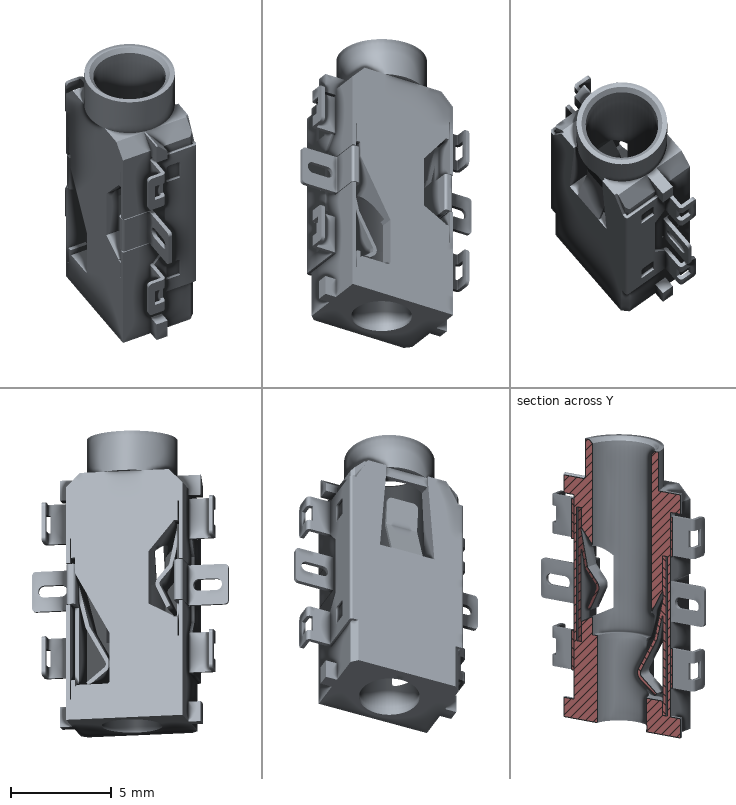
import cadquery as cq
import math

HALF_WIDTH = 2.95
FRONT_Y = -1.99
BACK_Y = 2.13
BODY_TOP = 12.51
TOTAL_HEIGHT = 14.5
BARREL_RADIUS = 2.25
TOP_CHAMFER = HALF_WIDTH - BARREL_RADIUS
BACK_CHAMFER = 0.3
BORE_RADIUS = 1.8
EXIT_RADIUS = 1.51
EXIT_TOP = 4.5
MOUTH_CHAMFER = 0.2

LUG_HALF_SPAN = 3.55
LUG_HEIGHT = 1.02
LUG_FRONT_Y = -0.42
LUG_BACK_Y = 0.2
LUG_FLAT = 0.09

SHELL_SHEET = 0.15
SHELL_BEND = 0.138
SHELL_INNER_Y = BACK_Y - SHELL_SHEET
SHELL_HALF_WIDTH = HALF_WIDTH + SHELL_SHEET
SHELL_BOTTOM = 2.48
SHELL_TOP = 11.3
FOOT_WIDTH = 2.02
SHELL_FRONT_Y = -0.5
WAIST_Y = 0.35
WAIST_SLOPE = 0.75
BACK_TOP_HALF = 2.13
BACK_FOOT_HALF = 2.78
FOOT_HALF_SPAN = 4.32
FOOT_END_Y = -1.29
FOOT_SHEET = 0.19
FOOT_BACK_Y = SHELL_FRONT_Y + FOOT_SHEET
FOOT_BEND = 0.06
FOOT_CORNER = 0.2
FOOT_SLOT_WIDTH = 0.87
FOOT_SLOT_END_Y = -0.94
FOOT_SLOT_INNER_X = 4.02
WINDOW_FRONT_Y = 0.39
WINDOW_BACK_Y = 1.17
WINDOW_HEIGHT = 1.02
WINDOW_CORNER = 0.15
WINDOW_BOTTOMS = (3.25, 9.55)

OPENING_BOTTOM = 7.5
OPENING_TOP = 11.96
OPENING_BOTTOM_HALF = 1.48
OPENING_TOP_HALF = 1.15
TONGUE_HALF_WIDTH = 0.84
TONGUE_CORNER = 0.28
TONGUE_BEND = (1.32, 9.42)
TONGUE_TIP = (1.48, 11.02)
TONGUE_BEND_RADIUS = 0.29

CONTACT_SHEET = 0.2
OVERALL_WIDTH = 9.9
PLATE_X = 2.48
SLOT_OUTER_X = 2.75
SPRING_HALF_WIDTH = 1.02
EAR_HEIGHT = 0.97
BRACKET_MID_Z = 6.9
BRACKET_WIDTH = 2.03
BRACKET_HALF_SPAN = OVERALL_WIDTH / 2
BRACKET_BACK_Y = -0.3
BRACKET_CORNER = 0.19
BRACKET_BEND = 0.09
HAIRPIN_RADIUS = 0.15
BRACKET_SLOT_X = 3.92
BRACKET_SLOT_LENGTH = 1.45
BRACKET_SLOT_WIDTH = 0.6
RECESS_CLEARANCE = 0.05
SPRING_BEND = 0.44

POCKET_CORNER = 0.16
LEFT_POCKET_CORNER = (0.74, 1.75)

LEFT_CONTACT = {
    "slot": (1.03, 9.2),
    "spring": [(PLATE_X, 7.03), (1.96, 4.93), (0.8, 2.87), (1.99, 1.91)],
    "pocket": [(PLATE_X, 7.41), (0.74, 4.3), LEFT_POCKET_CORNER, (2.39, 1.75), (PLATE_X, 1.67)],
    "rounded": [LEFT_POCKET_CORNER],
}
RIGHT_CONTACT = {
    "slot": (4.05, 10.89),
    "spring": [(PLATE_X, 9.79), (2.07, 7.9), (1.3, 7.02), (1.95, 5.71)],
    "pocket": [(PLATE_X, 9.87), (1.23, 8.4), (1.23, 5.73), (PLATE_X, 5.06)],
    "rounded": [],
}


def box(x_range, y_range, z_range):
    """Box between two limits along each axis."""
    size = [high - low for low, high in (x_range, y_range, z_range)]
    return cq.Workplane("XY").box(*size, centered=False).translate((x_range[0], y_range[0], z_range[0]))


def prism_along_y(outline, y_range):
    """Extrude an (x, z) outline between two y positions."""
    length = y_range[1] - y_range[0]
    return cq.Workplane("XZ", origin=(0, y_range[1], 0)).polyline(outline).close().extrude(length)


def prism_along_x(outline, x_range):
    """Extrude a (y, z) outline between two x positions."""
    length = x_range[1] - x_range[0]
    return cq.Workplane("YZ", origin=(x_range[0], 0, 0)).polyline(outline).close().extrude(length)


def both_sides(shape):
    """Join a shape to its mirror image across the middle plane."""
    return shape.union(shape.mirror("YZ"))


def strip_outline(path, thickness):
    """Closed outline of a bent sheet: the path, then its mitred copy to the left of travel."""
    headings = [math.atan2(b[1] - a[1], b[0] - a[0]) for a, b in zip(path, path[1:])]
    offset_side = []
    for index, point in enumerate(path):
        before = headings[max(index - 1, 0)]
        after = headings[min(index, len(headings) - 1)]
        bisector = (before + after) / 2
        reach = thickness / math.cos((after - before) / 2)
        offset_side.append((point[0] - reach * math.sin(bisector), point[1] + reach * math.cos(bisector)))
    return path + offset_side[::-1]


def edges_at(shape, axis, points, reach=0.007):
    """Edges parallel to an axis whose middles lie on the given lines, given across the axis."""
    def on_a_line(edge):
        middle = edge.Center()
        place = {"X": (middle.y, middle.z), "Y": (middle.x, middle.z), "Z": (middle.x, middle.y)}[axis]
        return any(math.dist(place, point) < reach for point in points)

    chosen = [edge for edge in shape.edges("|" + axis).vals() if on_a_line(edge)]
    return shape.newObject(chosen)


def rear_opening(y_range):
    """Opening in the rear wall, wider toward its bottom."""
    return prism_along_y(
        [
            (-OPENING_BOTTOM_HALF, OPENING_BOTTOM),
            (OPENING_BOTTOM_HALF, OPENING_BOTTOM),
            (OPENING_TOP_HALF, OPENING_TOP),
            (-OPENING_TOP_HALF, OPENING_TOP),
        ],
        y_range,
    )


def lugs():
    """Four lugs on the sides; the top of the upper right one slopes down toward the back at 45 degrees."""
    y_range = (LUG_FRONT_Y, LUG_BACK_Y)
    span = (-LUG_HALF_SPAN, LUG_HALF_SPAN)
    lower = box(span, y_range, (0, LUG_HEIGHT))
    upper_left = box((-LUG_HALF_SPAN, 0), y_range, (BODY_TOP - LUG_HEIGHT, BODY_TOP))
    slope = LUG_BACK_Y - LUG_FRONT_Y - LUG_FLAT
    upper_right = prism_along_x(
        [
            (LUG_FRONT_Y, BODY_TOP - LUG_HEIGHT),
            (LUG_BACK_Y, BODY_TOP - LUG_HEIGHT),
            (LUG_BACK_Y, BODY_TOP - slope),
            (LUG_FRONT_Y + LUG_FLAT, BODY_TOP),
            (LUG_FRONT_Y, BODY_TOP),
        ],
        (0, LUG_HALF_SPAN),
    )
    return lower.union(upper_left).union(upper_right)


def contact_cavity(contact):
    """Space for one contact: spring pocket, plate slot and bracket recess, on the +X side."""
    depth = (FRONT_Y, SPRING_HALF_WIDTH)
    pocket = prism_along_y(contact["pocket"], depth)
    if contact["rounded"]:
        pocket = edges_at(pocket, "Y", contact["rounded"]).fillet(POCKET_CORNER)
    slot = box((PLATE_X, SLOT_OUTER_X), depth, contact["slot"])
    half_recess = BRACKET_WIDTH / 2 + RECESS_CLEARANCE
    recess = box(
        (PLATE_X, HALF_WIDTH),
        (FRONT_Y, BRACKET_BACK_Y + RECESS_CLEARANCE),
        (BRACKET_MID_Z - half_recess, BRACKET_MID_Z + half_recess),
    )
    return pocket.union(slot).union(recess)


def make_housing():
    body = box((-HALF_WIDTH, HALF_WIDTH), (FRONT_Y, BACK_Y), (0, BODY_TOP))
    body = body.edges("|Z and >Y").chamfer(BACK_CHAMFER)
    body = body.edges("|Y and >Z").chamfer(TOP_CHAMFER)
    shell_seat = box((-HALF_WIDTH, HALF_WIDTH), (SHELL_INNER_Y, BACK_Y), (SHELL_BOTTOM, BODY_TOP))
    body = body.cut(shell_seat).union(lugs())
    barrel = cq.Workplane("XY", origin=(0, 0, BODY_TOP)).circle(BARREL_RADIUS)
    body = body.union(barrel.extrude(TOTAL_HEIGHT - BODY_TOP))

    mouth_radius = BORE_RADIUS + MOUTH_CHAMFER
    bore = cq.Workplane("XZ").polyline([
        (0, 0),
        (EXIT_RADIUS, 0),
        (EXIT_RADIUS, EXIT_TOP),
        (BORE_RADIUS, EXIT_TOP),
        (BORE_RADIUS, TOTAL_HEIGHT - MOUTH_CHAMFER),
        (mouth_radius, TOTAL_HEIGHT),
        (0, TOTAL_HEIGHT),
    ]).close().revolve(360, (0, 0, 0), (0, 1, 0))
    body = body.cut(bore)
    body = body.cut(rear_opening((0, BACK_Y)))
    body = body.cut(contact_cavity(RIGHT_CONTACT))
    return body.cut(contact_cavity(LEFT_CONTACT).mirror("YZ"))


def shell_back():
    """Rear sheet with sloped shoulders, notched at the top and opened for the tongue."""
    right = [
        (SHELL_HALF_WIDTH, SHELL_BOTTOM),
        (SHELL_HALF_WIDTH, SHELL_TOP),
        (BACK_FOOT_HALF, SHELL_TOP),
        (BACK_TOP_HALF, BODY_TOP),
    ]
    left = [(-x, z) for x, z in reversed(right)]
    sheet = (SHELL_INNER_Y, BACK_Y)
    back = prism_along_y(right + left, sheet)
    notch = box((-OPENING_TOP_HALF, OPENING_TOP_HALF), sheet, (OPENING_TOP, BODY_TOP))
    return back.cut(rear_opening(sheet)).cut(notch)


def shell_side():
    """Side sheet on the +X side, narrowed between its feet and pierced by two windows."""
    lower_foot_top = SHELL_BOTTOM + FOOT_WIDTH
    upper_foot_bottom = SHELL_TOP - FOOT_WIDTH
    side = prism_along_x(
        [
            (BACK_Y, SHELL_BOTTOM),
            (SHELL_FRONT_Y, SHELL_BOTTOM),
            (SHELL_FRONT_Y, lower_foot_top),
            (FOOT_BACK_Y, lower_foot_top),
            (WAIST_Y, lower_foot_top + WAIST_SLOPE),
            (WAIST_Y, upper_foot_bottom - WAIST_SLOPE),
            (FOOT_BACK_Y, upper_foot_bottom),
            (SHELL_FRONT_Y, upper_foot_bottom),
            (SHELL_FRONT_Y, SHELL_TOP),
            (BACK_Y, SHELL_TOP),
        ],
        (HALF_WIDTH, SHELL_HALF_WIDTH),
    )
    for bottom in WINDOW_BOTTOMS:
        window = box(
            (HALF_WIDTH, SHELL_HALF_WIDTH),
            (WINDOW_FRONT_Y, WINDOW_BACK_Y),
            (bottom, bottom + WINDOW_HEIGHT),
        )
        side = side.cut(window.edges("|X and >Z").fillet(WINDOW_CORNER))
    return side


def shell_foot(bottom):
    """Outward flange with a tab folded forward; the slot runs through their bend."""
    z_range = (bottom, bottom + FOOT_WIDTH)
    flange = box((HALF_WIDTH, FOOT_HALF_SPAN), (SHELL_FRONT_Y, FOOT_BACK_Y), z_range)
    tab = box(
        (FOOT_HALF_SPAN - FOOT_SHEET, FOOT_HALF_SPAN),
        (FOOT_END_Y, FOOT_BACK_Y),
        z_range,
    ).edges("|X and <Y").fillet(FOOT_CORNER)
    foot = flange.union(tab)
    foot = edges_at(foot, "Z", [(FOOT_HALF_SPAN, FOOT_BACK_Y)]).fillet(FOOT_SHEET)
    foot = edges_at(foot, "Z", [(FOOT_HALF_SPAN - FOOT_SHEET, SHELL_FRONT_Y)]).fillet(FOOT_BEND)
    slot_bottom = bottom + (FOOT_WIDTH - FOOT_SLOT_WIDTH) / 2
    slot = box(
        (FOOT_SLOT_INNER_X, FOOT_HALF_SPAN),
        (FOOT_SLOT_END_Y, FOOT_BACK_Y),
        (slot_bottom, slot_bottom + FOOT_SLOT_WIDTH),
    )
    return foot.cut(slot)


def shell_tongue():
    """Spring tongue rising from the bottom of the opening and bowing into the bore."""
    foot = SHELL_INNER_Y
    path = [TONGUE_TIP, TONGUE_BEND, (foot, OPENING_BOTTOM), (foot, OPENING_BOTTOM - SHELL_SHEET)]
    outline = strip_outline(path, SHELL_SHEET)
    tongue = prism_along_x(outline, (-TONGUE_HALF_WIDTH, TONGUE_HALF_WIDTH))
    tongue = edges_at(tongue, "X", [TONGUE_BEND]).fillet(TONGUE_BEND_RADIUS)
    return tongue.faces(">Z").edges("not |X").fillet(TONGUE_CORNER)


def make_shell():
    side = shell_side()
    for bottom in (SHELL_BOTTOM, SHELL_TOP - FOOT_WIDTH):
        side = side.union(shell_foot(bottom))
    shell = shell_back().union(both_sides(side))
    fold_lines = []
    for side_sign in (-1, 1):
        fold_lines.append((side_sign * SHELL_HALF_WIDTH, BACK_Y))
        fold_lines.append((side_sign * HALF_WIDTH, SHELL_FRONT_Y))
    shell = edges_at(shell, "Z", fold_lines).fillet(SHELL_BEND)
    return shell.union(shell_tongue())


def bracket_height():
    """Lower and upper z of the bracket."""
    return (BRACKET_MID_Z - BRACKET_WIDTH / 2, BRACKET_MID_Z + BRACKET_WIDTH / 2)


def contact_bracket():
    """Hairpin around the front of the side wall, then a slotted flange pointing outward."""
    z_range = bracket_height()
    flange_front = BRACKET_BACK_Y - CONTACT_SHEET
    hairpin = box((PLATE_X, HALF_WIDTH), (FRONT_Y, BRACKET_BACK_Y), z_range)
    hairpin = hairpin.edges("|Z and <Y").fillet(HAIRPIN_RADIUS)
    gap = box(
        (PLATE_X + CONTACT_SHEET, HALF_WIDTH - CONTACT_SHEET),
        (FRONT_Y + CONTACT_SHEET, BRACKET_BACK_Y),
        z_range,
    )
    flange = box((HALF_WIDTH - CONTACT_SHEET, BRACKET_HALF_SPAN), (flange_front, BRACKET_BACK_Y), z_range)
    flange = flange.edges("|Y and >X").fillet(BRACKET_CORNER)
    bracket = hairpin.cut(gap).union(flange)
    bracket = edges_at(bracket, "Z", [(HALF_WIDTH, flange_front)]).fillet(BRACKET_BEND)
    slot = (
        cq.Workplane("XZ", origin=(BRACKET_SLOT_X, BRACKET_BACK_Y, BRACKET_MID_Z))
        .slot2D(BRACKET_SLOT_LENGTH, BRACKET_SLOT_WIDTH)
        .extrude(CONTACT_SHEET)
    )
    return bracket.cut(slot)


def make_contact(contact):
    """Contact for the +X side: slotted-in plate, its bracket and the spring bowing into the bore."""
    bottom, top = contact["slot"]
    plate_x = (PLATE_X, PLATE_X + CONTACT_SHEET)
    plate_bottom = bottom + EAR_HEIGHT
    plate_top = top - EAR_HEIGHT
    plate = box(plate_x, (-SPRING_HALF_WIDTH, SPRING_HALF_WIDTH), (plate_bottom, plate_top))
    for ear_range in ((bottom, plate_bottom), (plate_top, top)):
        plate = plate.union(box(plate_x, (FRONT_Y, SPRING_HALF_WIDTH), ear_range))
    path = [(PLATE_X, plate_top)] + contact["spring"]
    outline = strip_outline(path, CONTACT_SHEET)
    spring = prism_along_y(outline, (-SPRING_HALF_WIDTH, SPRING_HALF_WIDTH))
    tip_bend = len(path) - 2
    spring = edges_at(spring, "Y", [outline[tip_bend]]).fillet(SPRING_BEND)
    spring = edges_at(spring, "Y", [outline[-1 - tip_bend]]).fillet(SPRING_BEND - CONTACT_SHEET)
    return plate.union(spring).union(contact_bracket())


housing = make_housing()
shell = make_shell()
right_contact = make_contact(RIGHT_CONTACT)
left_contact = make_contact(LEFT_CONTACT).mirror("YZ")

result = cq.Compound.makeCompound([
    housing.solids().val(),
    shell.solids().val(),
    right_contact.solids().val(),
    left_contact.solids().val(),
])